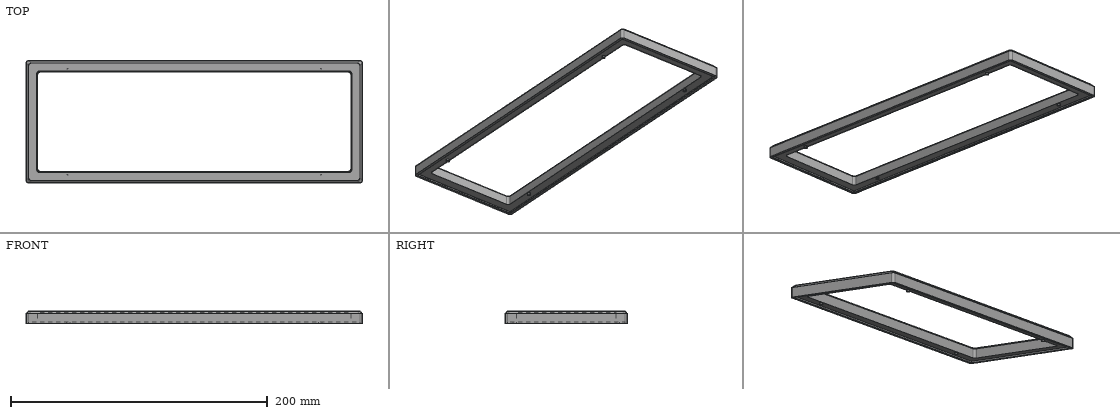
import cadquery as cq

length, width, height = 262, 95.3, 9.7
outer_corner_radius = 2.0
outer_bevel = 2.0
top_flat_width = 6.0

opening_bevel = 1.0
opening_corner_radius = 2.0
rail = outer_bevel + top_flat_width + opening_bevel
opening_length = length - 2 * rail
opening_width = width - 2 * rail

skirt_thickness = outer_bevel
rebate_depth = 1.3

pin_diameter = 2.5
pin_setback = 0.3
pin_spacing = 196.5


def rounded_outline(x_size, y_size, radius):
    return cq.Sketch().rect(x_size, y_size).vertices().fillet(radius)


def straight_block(outline, block_height):
    return cq.Workplane("XY").placeSketch(outline).extrude(block_height)


def tapered_block(lower_outline, upper_outline, bevel):
    """Bevel layer that ends flush with the top of the frame."""
    lower_plane = cq.Workplane("XY").workplane(offset=height - bevel)
    raised_outline = upper_outline.moved(cq.Location(cq.Vector(0, 0, bevel)))
    return lower_plane.placeSketch(lower_outline, raised_outline).loft(ruled=True)


def frame_blank():
    side_outline = rounded_outline(length, width, outer_corner_radius)
    top_outline = rounded_outline(
        length - 2 * outer_bevel, width - 2 * outer_bevel, outer_corner_radius
    )
    sides = straight_block(side_outline, height - outer_bevel)
    return sides.union(tapered_block(side_outline, top_outline, outer_bevel))


def opening():
    wall_outline = rounded_outline(opening_length, opening_width, opening_corner_radius)
    top_outline = rounded_outline(
        opening_length + 2 * opening_bevel,
        opening_width + 2 * opening_bevel,
        opening_corner_radius + opening_bevel,
    )
    walls = straight_block(wall_outline, height)
    return walls.union(tapered_block(wall_outline, top_outline, opening_bevel))


def rebate():
    return (
        cq.Workplane("XY")
        .rect(length - 2 * skirt_thickness, width - 2 * skirt_thickness)
        .extrude(rebate_depth)
    )


def pins():
    pin_y = opening_width / 2 + pin_setback + pin_diameter / 2
    return (
        cq.Workplane("XY")
        .rect(pin_spacing, 2 * pin_y, forConstruction=True)
        .vertices()
        .circle(pin_diameter / 2)
        .extrude(rebate_depth)
    )


result = frame_blank().cut(opening()).cut(rebate()).union(pins())